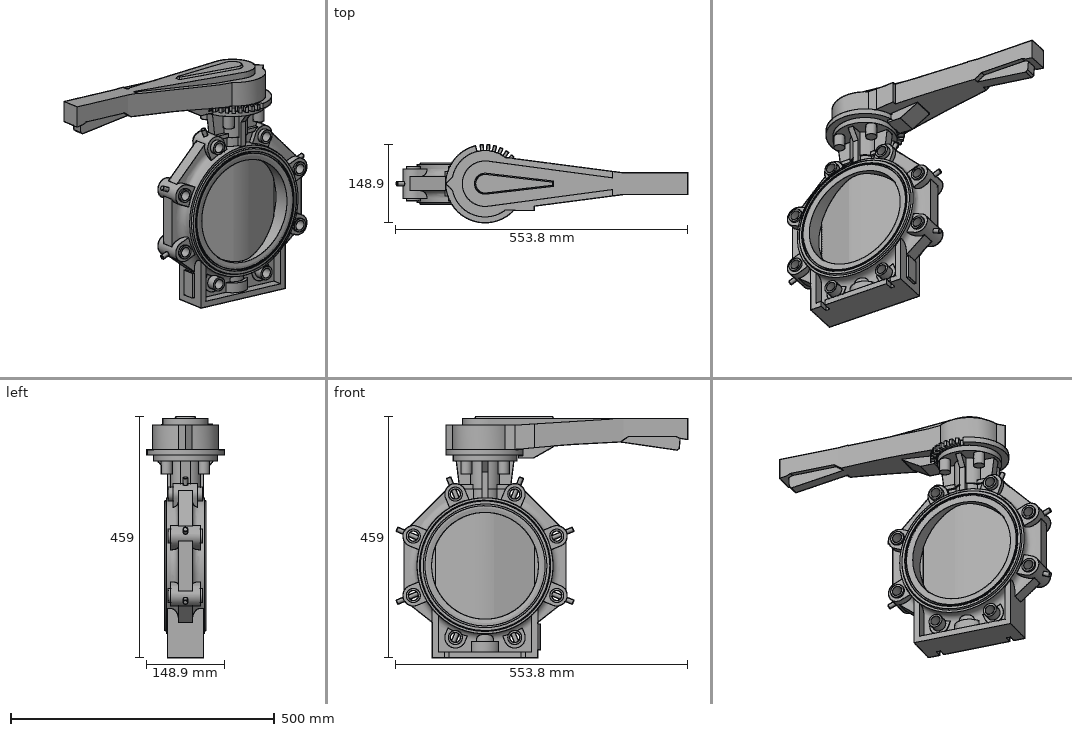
import cadquery as cq
import math


JOIN = 3.0

BORE_R = 101.5
BARREL_R = 129.0
BARREL_HALF = 39.5
FACE_R = 123.0
STEP_R = 124.5
STEP_HEIGHT = 3.5
GROOVE_OUTER_R = 117.5
GROOVE_INNER_R = 114.0
GROOVE_DEPTH = 3.0
LIP_R = 109.0
LIP_DROP = 1.5

WEB_HALF = 13.5
WEB_APOTHEM = 154.0
WEB_FILLET_R = 14.0
WEB_LOW_CORNER_X = 139.0
WEB_LOW_CORNER_Z = -77.0
WEB_BASE_Z = -107.5
BRIDGE_THICKNESS = 8.0
BRIDGE_HALF_X = 55.5
BRIDGE_HALF_Y = 18.0
RELIEF_HALF_X = 39.0

LUG_COUNT = 8
LUG_PITCH = 360 / LUG_COUNT
BOLT_CIRCLE_R = 147.5
LUG_R = 20.0
SIDE_LUG_HALF = 28.0
TOP_LUG_HALF = 23.5
BOTTOM_LUG_HALF = 14.5
INSERT_R = 13.5
INSERT_HOLE_R = 9.5
INSERT_HALF = 32.5
PIN_R = 4.5
PIN_CHAMFER = 0.5
PIN_TIP_R = 181.0

BASE_HALF_X = 100.5
BASE_HALF_Y = 34.5
BASE_BOTTOM_Z = -175.0
BASE_WALL = 11.5
BASE_TOP_Z = -66.5
BASE_SLOT_X = 72.5
BASE_SLOT_WIDTH = 8.5
BASE_SLOT_DEPTH = 16.5
FOOT_R = 29.0
FOOT_TOP_Z = -144
FOOT_STEM_R = 21.0
SIDE_PAD_TOP_Z = -110.5
SIDE_PAD_HEIGHT = 49.5
SIDE_PAD_THICKNESS = 5.0

NECK_R = 29.0
NECK_STEM_R = 26.0
NECK_FOOT_Z = 116.5
FLANGE_Z = 199.0
FLANGE_R = 61.0
RATCHET_Z = 210.0
RATCHET_R = 149.0 / 2
HANDLE_Z = 220.5
SIDE_RIB_HALF_Y = 9.5
SIDE_RIB_LOW_X = 49.5
SIDE_RIB_HIGH_X = 55.0
FRONT_RIB_HALF_X = 5.5
FRONT_RIB_Y = BASE_HALF_Y
FRONT_RIB_BEND_Z = 178.0
FRONT_RIB_HIGH_Y = 53.0
MOUNT_BOSS_POS = 35.5
MOUNT_BOSS_R = 10.5
MOUNT_BOSS_LENGTH = 25.0
TOOTH_ROOT_R = 62.5
TOOTH_WIDTH = 6.0
TOOTH_PITCH = 10
FIRST_TOOTH = 95
TOOTH_COUNT = 8
RATCHET_START = 15
RATCHET_END = 104

DISC_FLAT_X = 94.0
DISC_EDGE_HALF = 5.5
DISC_RIM_HALF = 3.5
DISC_HUB_X = 18.0
DISC_HUB_HALF = 28.0
DISC_CROWN_HALF = 30.0

HANDLE_TOP_Z = 280.0
HANDLE_SHOULDER_Z = 268.0
HANDLE_HUB_R = 63.0
POINTER_X = -74.0
POINTER_HALF_Y = 13.0
STOP_Y = -51.0
STOP_START_X = 56.5
STOP_END_X = 93.5
FLANK_Y = -50.5
RAMP_END_X = 242.0
ARM_TAPER = 0.13
GRIP_START_X = 263.5
GRIP_HALF_Y = 41.5 / 2
GRIP_END_X = 385.0
RAMP_START_X = 66.0
RAMP_END_Z = 279.0
PLATEAU_R = 43.0
PLATEAU_END_HALF_Y = 11.0
BADGE_R = 20.0
BADGE_END_X = 130.0
BADGE_END_HALF_Y = 5.0
BADGE_HEIGHT = 4.0
BADGE_TAPER = 30
ARCH_MID_X = 154.5
ARCH_MID_Z = 229.5
ARCH_END_X = 257.0
ARCH_END_Z = 235.0
RELIEF_START_X = 272.0
RELIEF_END_X = 362.5
RELIEF_Z = 245.5
GRIP_LIP_Z = 241.5
GRIP_END_Z = 239.5
TRIGGER_HALF_Y = 11.0
TRIGGER_END_X = 371.5
TRIGGER_TIP_X = 365.0
TRIGGER_TIP_Z = 219.5
TRIGGER_NOSE_X = 369.0
TRIGGER_NOSE_Z = 223.0
PAWL_HALF_Y = 22.0
PAWL_ROOT_X = 63.0
PAWL_BOTTOM_Z = 204.5
PAWL_HEEL_X = 92.0
PAWL_END_X = 130.0
PAWL_END_Z = 226.0
PAWL_TOP_Z = 233.0
PAWL_CLEARANCE = 0.5


def box(x0, x1, y0, y1, z0, z1):
    """Box between two opposite corners."""
    return cq.Workplane("XY").box(x1 - x0, y1 - y0, z1 - z0, centered=False).translate((x0, y0, z0))


def xz_plate(outline, half_y):
    """Plate with a closed XZ outline, centred on y = 0."""
    return outline.close().extrude(half_y, both=True)


def xz_polygon(points, half_y):
    return xz_plate(cq.Workplane("XZ").polyline(points), half_y)


def y_cylinder(radius, half_length):
    return cq.Workplane("XZ").circle(radius).extrude(half_length, both=True)


def z_cylinder(radius, z0, z1):
    return cq.Workplane("XY").workplane(offset=z0).circle(radius).extrude(z1 - z0)


def at_lug(shape, index):
    """Turn a shape built on the +X axis to lug position `index`."""
    return shape.rotate((0, 0, 0), (0, 1, 0), -LUG_PITCH * (index + 0.5))


def make_barrel():
    rim_y = BARREL_HALF - STEP_HEIGHT
    blend_y = WEB_HALF + WEB_FILLET_R
    blend_r = BARREL_R + WEB_FILLET_R
    mid = WEB_FILLET_R * math.sqrt(0.5)
    half = (
        cq.Workplane("XY")
        .moveTo(BORE_R, 0)
        .lineTo(BORE_R, BARREL_HALF - LIP_DROP)
        .lineTo(LIP_R, BARREL_HALF)
        .lineTo(GROOVE_INNER_R, BARREL_HALF)
        .lineTo(GROOVE_INNER_R, BARREL_HALF - GROOVE_DEPTH)
        .lineTo(GROOVE_OUTER_R, BARREL_HALF - GROOVE_DEPTH)
        .lineTo(GROOVE_OUTER_R, BARREL_HALF)
        .lineTo(FACE_R, BARREL_HALF)
        .lineTo(STEP_R, rim_y)
        .lineTo(BARREL_R, rim_y)
        .lineTo(BARREL_R, blend_y)
        .threePointArc((blend_r - mid, blend_y - mid), (blend_r, WEB_HALF))
        .lineTo(blend_r, 0)
        .close()
        .revolve(360, (0, 0, 0), (0, 1, 0))
    )
    relief = box(-RELIEF_HALF_X, RELIEF_HALF_X, WEB_HALF, blend_y, 0, WEB_APOTHEM)
    half = half.cut(relief.cut(y_cylinder(BARREL_R, BARREL_HALF)))
    return half.union(half.mirror("XZ"))


def make_web():
    corner = WEB_APOTHEM * math.tan(math.radians(LUG_PITCH / 2))
    right_side = [
        (corner, WEB_APOTHEM),
        (WEB_APOTHEM, corner),
        (WEB_APOTHEM, -corner),
        (WEB_LOW_CORNER_X, WEB_LOW_CORNER_Z),
        (BASE_HALF_X, WEB_BASE_Z),
        (BASE_HALF_X, BASE_BOTTOM_Z),
    ]
    left_side = [(-x, z) for x, z in reversed(right_side)]
    web = xz_polygon(right_side + left_side, WEB_HALF)
    bridge = box(
        -BRIDGE_HALF_X, BRIDGE_HALF_X, -BRIDGE_HALF_Y, BRIDGE_HALF_Y,
        WEB_APOTHEM - BRIDGE_THICKNESS, WEB_APOTHEM,
    )
    return web.union(bridge)


def lug_half_length(index):
    height = math.sin(math.radians(LUG_PITCH * (index + 0.5)))
    if abs(height) < math.sin(math.radians(LUG_PITCH)):
        return SIDE_LUG_HALF
    return TOP_LUG_HALF if height > 0 else BOTTOM_LUG_HALF


def make_lug(index):
    half = lug_half_length(index)
    boss = y_cylinder(LUG_R, half).translate((BOLT_CIRCLE_R, 0, 0))
    root = box(BARREL_R - JOIN, BOLT_CIRCLE_R, -half, half, -LUG_R, LUG_R)
    return at_lug(boss.union(root), index)


def make_base():
    base = box(-BASE_HALF_X, BASE_HALF_X, -BASE_HALF_Y, BASE_HALF_Y, BASE_BOTTOM_Z, BASE_TOP_Z)
    inner_x = BASE_HALF_X - BASE_WALL
    floor_z = BASE_BOTTOM_Z + BASE_WALL
    base = base.cut(box(-inner_x, inner_x, -BASE_HALF_Y, BASE_HALF_Y, floor_z, BASE_TOP_Z))
    for side in (-1, 1):
        slot_x = side * BASE_SLOT_X
        base = base.cut(box(
            slot_x - BASE_SLOT_WIDTH / 2, slot_x + BASE_SLOT_WIDTH / 2,
            -BASE_HALF_Y, -BASE_HALF_Y + BASE_SLOT_DEPTH, BASE_BOTTOM_Z, floor_z,
        ))
    foot = z_cylinder(FOOT_R, BASE_BOTTOM_Z, FOOT_TOP_Z)
    stem = z_cylinder(FOOT_STEM_R, FOOT_TOP_Z, JOIN - BARREL_R)
    pad = box(
        BASE_HALF_X, BASE_HALF_X + SIDE_PAD_THICKNESS, -WEB_HALF, WEB_HALF,
        SIDE_PAD_TOP_Z - SIDE_PAD_HEIGHT, SIDE_PAD_TOP_Z,
    )
    return base.union(foot).union(stem).union(pad)


def make_neck():
    neck = z_cylinder(NECK_R, WEB_APOTHEM - BRIDGE_THICKNESS, FLANGE_Z)
    neck = neck.union(z_cylinder(NECK_STEM_R, NECK_FOOT_Z, FLANGE_Z))
    side_ribs = xz_polygon(
        [
            (-SIDE_RIB_LOW_X, WEB_APOTHEM),
            (SIDE_RIB_LOW_X, WEB_APOTHEM),
            (SIDE_RIB_HIGH_X, FLANGE_Z),
            (-SIDE_RIB_HIGH_X, FLANGE_Z),
        ],
        SIDE_RIB_HALF_Y,
    )
    front_back_ribs = (
        cq.Workplane("YZ")
        .polyline([
            (-FRONT_RIB_Y, NECK_FOOT_Z),
            (FRONT_RIB_Y, NECK_FOOT_Z),
            (FRONT_RIB_Y, FRONT_RIB_BEND_Z),
            (FRONT_RIB_HIGH_Y, FLANGE_Z),
            (-FRONT_RIB_HIGH_Y, FLANGE_Z),
            (-FRONT_RIB_Y, FRONT_RIB_BEND_Z),
        ])
        .close()
        .extrude(FRONT_RIB_HALF_X, both=True)
    )
    neck = neck.union(side_ribs).union(front_back_ribs)
    for x in (-MOUNT_BOSS_POS, MOUNT_BOSS_POS):
        for y in (-MOUNT_BOSS_POS, MOUNT_BOSS_POS):
            boss = z_cylinder(MOUNT_BOSS_R, FLANGE_Z - MOUNT_BOSS_LENGTH, FLANGE_Z)
            neck = neck.union(boss.translate((x, y, 0)))
    return neck.union(z_cylinder(FLANGE_R, FLANGE_Z, RATCHET_Z))


def polar(radius, degrees):
    angle = math.radians(degrees)
    return (radius * math.cos(angle), radius * math.sin(angle))


def make_ratchet_plate():
    """Plain disc whose rim carries radial teeth on the arm side."""
    middle = (RATCHET_START + RATCHET_END) / 2
    plate = (
        cq.Workplane("XY", origin=(0, 0, RATCHET_Z))
        .moveTo(*polar(RATCHET_R, RATCHET_END))
        .threePointArc(polar(RATCHET_R, middle + 180), polar(RATCHET_R, RATCHET_START))
        .lineTo(*polar(TOOTH_ROOT_R, RATCHET_START))
        .threePointArc(polar(TOOTH_ROOT_R, middle), polar(TOOTH_ROOT_R, RATCHET_END))
        .close()
        .extrude(HANDLE_Z - RATCHET_Z)
    )
    bar = box(
        TOOTH_ROOT_R - JOIN, RATCHET_R, -TOOTH_WIDTH / 2, TOOTH_WIDTH / 2, RATCHET_Z, HANDLE_Z
    ).intersect(z_cylinder(RATCHET_R, RATCHET_Z, HANDLE_Z))
    for index in range(TOOTH_COUNT):
        angle = FIRST_TOOTH - TOOTH_PITCH * index
        plate = plate.union(bar.rotate((0, 0, 0), (0, 0, 1), angle))
    return plate


def make_disc():
    """Closed disc: a crowned hub strip with faces that taper to a thin rim."""
    rim_x = BORE_R + JOIN
    half = (
        cq.Workplane("XY")
        .moveTo(-DISC_HUB_X, DISC_HUB_HALF)
        .threePointArc((0, DISC_CROWN_HALF), (DISC_HUB_X, DISC_HUB_HALF))
        .lineTo(DISC_FLAT_X, DISC_EDGE_HALF)
        .lineTo(DISC_FLAT_X, DISC_RIM_HALF)
        .lineTo(rim_x, DISC_RIM_HALF)
        .lineTo(rim_x, 0)
        .lineTo(-rim_x, 0)
        .lineTo(-rim_x, DISC_RIM_HALF)
        .lineTo(-DISC_FLAT_X, DISC_RIM_HALF)
        .lineTo(-DISC_FLAT_X, DISC_EDGE_HALF)
        .close()
        .extrude(rim_x, both=True)
    )
    whole = half.union(half.mirror("XZ"))
    return whole.intersect(y_cylinder(rim_x, BARREL_HALF))


def make_insert_space(index):
    """Space in the body filled by an insert and its pin."""
    bore = y_cylinder(INSERT_R, INSERT_HALF).translate((BOLT_CIRCLE_R, 0, 0))
    return at_lug(bore.union(make_pin()), index)


def make_body():
    body = make_web().union(make_base()).union(make_neck()).union(make_ratchet_plate())
    for index in range(LUG_COUNT):
        body = body.union(make_lug(index))
    body = body.cut(y_cylinder(BARREL_R - JOIN, BARREL_HALF))
    body = body.union(make_barrel()).union(make_disc())
    for index in range(LUG_COUNT):
        body = body.cut(make_insert_space(index))
    return body


def make_pin():
    """Radial pin on the +X axis, rooted in the inner wall of its insert."""
    start = BOLT_CIRCLE_R - (INSERT_R + INSERT_HOLE_R) / 2
    pin = cq.Workplane("YZ", origin=(start, 0, 0)).circle(PIN_R).extrude(PIN_TIP_R - start)
    return pin.faces(">X").chamfer(PIN_CHAMFER)


def make_insert(index):
    sleeve = cq.Workplane("XZ").circle(INSERT_R).circle(INSERT_HOLE_R).extrude(INSERT_HALF, both=True)
    return at_lug(sleeve.translate((BOLT_CIRCLE_R, 0, 0)).union(make_pin()), index)


def teardrop(radius, end_x, end_half_y, z0, height, taper=0):
    """Round end on the spindle axis, tapering tangentially to a flat end at end_x."""
    distance = math.hypot(end_x, end_half_y)
    tangent = math.atan2(end_half_y, end_x) + math.acos(radius / distance)
    touch_x = radius * math.cos(tangent)
    touch_y = radius * math.sin(tangent)
    return (
        cq.Workplane("XY", origin=(0, 0, z0))
        .moveTo(end_x, end_half_y)
        .lineTo(touch_x, touch_y)
        .threePointArc((-radius, 0), (touch_x, -touch_y))
        .lineTo(end_x, -end_half_y)
        .close()
        .extrude(height, taper=taper)
    )


def make_handle_plan():
    """Handle seen along the spindle: round hub, pointer, stop block, arm and grip."""
    height = HANDLE_TOP_Z - HANDLE_Z
    stop_arm_y = GRIP_HALF_Y + ARM_TAPER * (GRIP_START_X - STOP_END_X)
    root_half_y = GRIP_HALF_Y + ARM_TAPER * GRIP_START_X
    arm = (
        cq.Workplane("XY", origin=(0, 0, HANDLE_Z))
        .moveTo(0, FLANK_Y)
        .lineTo(STOP_START_X, FLANK_Y)
        .lineTo(STOP_START_X, STOP_Y)
        .lineTo(STOP_END_X, STOP_Y)
        .lineTo(STOP_END_X, -stop_arm_y)
        .lineTo(GRIP_START_X, -GRIP_HALF_Y)
        .lineTo(GRIP_END_X, -GRIP_HALF_Y)
        .lineTo(GRIP_END_X, GRIP_HALF_Y)
        .lineTo(GRIP_START_X, GRIP_HALF_Y)
        .lineTo(0, root_half_y)
        .close()
        .extrude(height)
    )
    pointer_root_x = -math.sqrt(HANDLE_HUB_R**2 - POINTER_HALF_Y**2)
    pointer = (
        cq.Workplane("XY", origin=(0, 0, HANDLE_Z))
        .polyline([
            (0, POINTER_HALF_Y),
            (pointer_root_x, POINTER_HALF_Y),
            (POINTER_X, 0),
            (pointer_root_x, -POINTER_HALF_Y),
            (0, -POINTER_HALF_Y),
        ])
        .close()
        .extrude(height)
    )
    return z_cylinder(HANDLE_HUB_R, HANDLE_Z, HANDLE_TOP_Z).union(arm).union(pointer)


def make_handle_side():
    """Side outline of the handle, with the arched underside and the grip relief."""
    outline = (
        cq.Workplane("XZ")
        .moveTo(POINTER_X, HANDLE_Z)
        .lineTo(STOP_START_X, HANDLE_Z)
        .threePointArc((ARCH_MID_X, ARCH_MID_Z), (ARCH_END_X, ARCH_END_Z))
        .lineTo(RELIEF_START_X, RELIEF_Z)
        .lineTo(RELIEF_END_X, RELIEF_Z)
        .lineTo(TRIGGER_END_X, GRIP_LIP_Z)
        .lineTo(GRIP_END_X, GRIP_END_Z)
        .lineTo(GRIP_END_X, HANDLE_TOP_Z)
        .lineTo(POINTER_X, HANDLE_TOP_Z)
    )
    return xz_plate(outline, RATCHET_R)


def make_shoulder_cut():
    """Material removed beside the raised plateau, down to a ledge that ramps up along the arm."""
    ledge = xz_polygon(
        [
            (POINTER_X, HANDLE_SHOULDER_Z),
            (RAMP_START_X, HANDLE_SHOULDER_Z),
            (RAMP_END_X, RAMP_END_Z),
            (RAMP_END_X, HANDLE_TOP_Z),
            (POINTER_X, HANDLE_TOP_Z),
        ],
        RATCHET_R,
    )
    plateau = teardrop(
        PLATEAU_R, RAMP_END_X, PLATEAU_END_HALF_Y,
        HANDLE_SHOULDER_Z, HANDLE_TOP_Z - HANDLE_SHOULDER_Z,
    )
    return ledge.cut(plateau)


def make_trigger():
    """Squeeze lever hanging below the grip."""
    return xz_polygon(
        [
            (ARCH_END_X, ARCH_END_Z),
            (TRIGGER_TIP_X, TRIGGER_TIP_Z),
            (TRIGGER_NOSE_X, TRIGGER_NOSE_Z),
            (TRIGGER_END_X, RELIEF_Z + JOIN),
            (RELIEF_START_X, RELIEF_Z + JOIN),
        ],
        TRIGGER_HALF_Y,
    )


def make_pawl():
    """Catch under the arm that hooks below the ratchet plate and curves around its rim."""
    catch = xz_polygon(
        [
            (PAWL_ROOT_X, PAWL_BOTTOM_Z),
            (PAWL_HEEL_X, PAWL_BOTTOM_Z),
            (PAWL_END_X, PAWL_END_Z),
            (PAWL_END_X, PAWL_TOP_Z),
            (PAWL_ROOT_X, PAWL_TOP_Z),
        ],
        PAWL_HALF_Y,
    )
    return catch.cut(z_cylinder(RATCHET_R + PAWL_CLEARANCE, RATCHET_Z - PAWL_CLEARANCE, HANDLE_Z))


def make_handle():
    handle = make_handle_plan().intersect(make_handle_side()).cut(make_shoulder_cut())
    badge = teardrop(
        BADGE_R, BADGE_END_X, BADGE_END_HALF_Y, HANDLE_TOP_Z, BADGE_HEIGHT, BADGE_TAPER
    )
    return handle.union(badge).union(make_trigger()).union(make_pawl())


body = make_body()
inserts = [make_insert(index) for index in range(LUG_COUNT)]
handle = make_handle()

result = cq.Compound.makeCompound([body.val(), handle.val(), *[insert.val() for insert in inserts]])